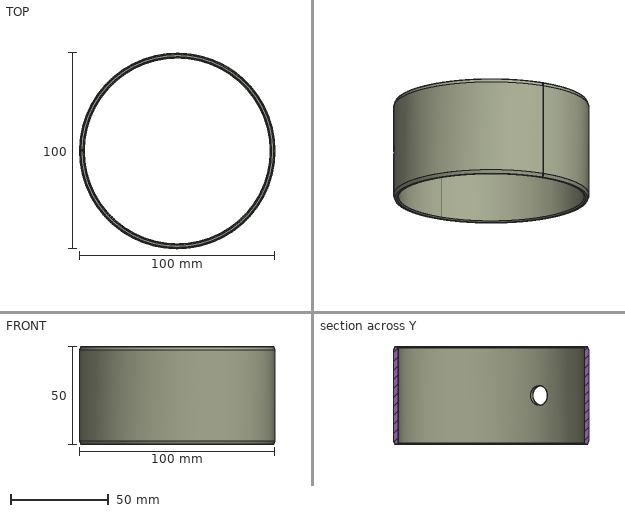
import cadquery as cq
import math

outer_diameter = 100.0
wall = 2.5
height = 50.0

outer_chamfer_height = 1.8
outer_chamfer_width = 0.7
inner_chamfer = 0.7

slit_width = 0.5
slit_edge_y = 0.2
hole_diameter = 10.0
hole_angle = 59.0

outer_radius = outer_diameter / 2
inner_radius = outer_radius - wall
half_height = height / 2


def make_sleeve():
    """Revolve the chamfered wall section about Z."""
    section = [
        (inner_radius, -half_height + inner_chamfer),
        (inner_radius + inner_chamfer, -half_height),
        (outer_radius - outer_chamfer_width, -half_height),
        (outer_radius, -half_height + outer_chamfer_height),
        (outer_radius, half_height - outer_chamfer_height),
        (outer_radius - outer_chamfer_width, half_height),
        (inner_radius + inner_chamfer, half_height),
        (inner_radius, half_height - inner_chamfer),
    ]
    return cq.Workplane("XZ").polyline(section).close().revolve(360, (0, 0), (0, 1))


def make_slit():
    """Full-height split through the wall on the -X side."""
    slit_centre_y = slit_edge_y + slit_width / 2
    slit = cq.Workplane("XY").box(outer_radius, slit_width, height)
    return slit.translate((-outer_radius, slit_centre_y, 0))


def make_hole():
    """Radial hole through one wall at mid-height."""
    angle = math.radians(hole_angle)
    direction = cq.Vector(math.cos(angle), math.sin(angle), 0)
    return cq.Solid.makeCylinder(hole_diameter / 2, outer_diameter, cq.Vector(0, 0, 0), direction)


result = make_sleeve().cut(make_slit()).cut(make_hole())